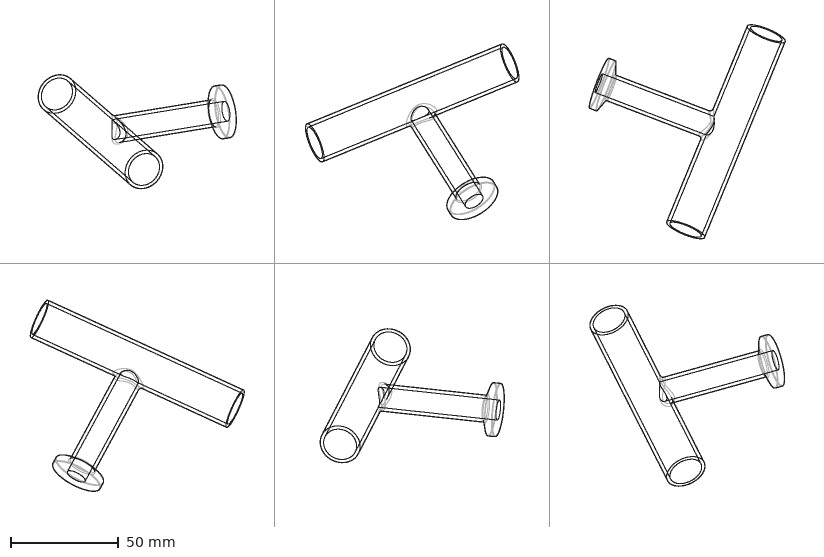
import cadquery as cq
import math

run_length = 101.6
run_outer_diameter = 19.1
run_bore_diameter = 15.7

branch_outer_diameter = 12.7
branch_bore_diameter = 9.3
branch_reach = 63.5
weld_radius = 1.6

flange_diameter = 25.0
rim_thickness = 3.7
rim_edge_radius = 0.3
back_cone_angle = 20.0
neck_fillet_radius = 0.7

selection_margin = 0.1

run_radius = run_outer_diameter / 2
branch_radius = branch_outer_diameter / 2
flange_radius = flange_diameter / 2
cone_length = (flange_radius - branch_radius) * math.tan(math.radians(back_cone_angle))
rim_back = branch_reach - rim_thickness
cone_start = rim_back - cone_length


def cylinder_along_x(diameter, length):
    """Cylinder along X, centred on the origin."""
    return cq.Workplane("YZ").circle(diameter / 2).extrude(length / 2, both=True)


def cylinder_along_y(diameter, length):
    """Cylinder along +Y, starting on the run axis."""
    return cq.Workplane("XZ").circle(diameter / 2).extrude(-length)


def edges_between(y_low, y_high):
    """Selector for edges centred between two stations along the branch."""
    reach = run_length
    return cq.selectors.BoxSelector((-reach, y_low, -reach), (reach, y_high, reach))


def branch_with_flange():
    """Solid branch from the run axis to the flange face, with its edges rounded."""
    body = (
        cq.Workplane("XY")
        .lineTo(branch_radius, 0)
        .lineTo(branch_radius, cone_start)
        .lineTo(flange_radius, rim_back)
        .lineTo(flange_radius, branch_reach)
        .lineTo(0, branch_reach)
        .close()
        .revolve(360, (0, 0, 0), (0, 1, 0))
    )
    rim_edges = edges_between(rim_back - selection_margin, branch_reach + selection_margin)
    neck_edge = edges_between(cone_start - selection_margin, cone_start + selection_margin)
    body = body.edges("%CIRCLE").edges(rim_edges).fillet(rim_edge_radius)
    return body.edges("%CIRCLE").edges(neck_edge).fillet(neck_fillet_radius)


def solid_tee():
    """Solid run and branch, joined by a fillet around the saddle-shaped seam."""
    run = cylinder_along_x(run_outer_diameter, run_length)
    tee = run.union(branch_with_flange())
    return tee.edges("not(%LINE or %CIRCLE)").edges(edges_between(0, run_radius)).fillet(weld_radius)


result = (
    solid_tee()
    .cut(cylinder_along_x(run_bore_diameter, run_length))
    .cut(cylinder_along_y(branch_bore_diameter, branch_reach))
)